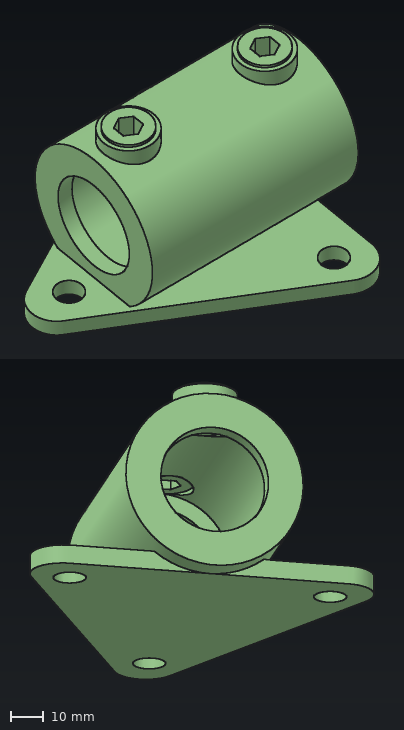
import cadquery as cq
import math

plate_width = 108.0
plate_depth = 100.0
plate_thickness = 5.9
corner_radius = 10.0
plate_hole_diameter = 10.0
front_hole_inset = 15.0
rear_hole_inset = 13.0

tube_front = 25.0
tube_back = 108.0
tube_radius = 28.0
mouth_radius = 17.0
lip_length = 5.6
tube_axis_height = tube_radius
tube_length = tube_back - tube_front
cavity_radius = tube_axis_height - plate_thickness

screw_end_inset = 14.0
boss_radius = 10.0
boss_top = 60.5
screw_radius = 8.4
screw_top = 61.5
socket_across_flats = 8.0
screw_bottom = tube_axis_height + cavity_radius
screw_positions = [tube_front + screw_end_inset, tube_back - screw_end_inset]


def cylinder_along_y(radius, front, length):
    axis_start = cq.Vector(0, front, tube_axis_height)
    return cq.Workplane(cq.Solid.makeCylinder(radius, length, axis_start, cq.Vector(0, 1, 0)))


def upright_cylinder(radius, y, bottom, top):
    return cq.Workplane("XY", origin=(0, y, bottom)).circle(radius).extrude(top - bottom)


def make_plate():
    """Triangle with three tangent corner arcs, drilled once near each corner."""
    side_x = plate_width / 2 - corner_radius
    rear_y = plate_depth - corner_radius
    front_y = corner_radius
    edge_angle = math.atan2(rear_y - front_y, side_x)
    normal_x = corner_radius * math.sin(edge_angle)
    normal_y = -corner_radius * math.cos(edge_angle)
    mid_angle = edge_angle / 2
    mid_x = side_x + corner_radius * math.cos(mid_angle)
    mid_y = rear_y + corner_radius * math.sin(mid_angle)
    plate = (
        cq.Workplane("XY")
        .moveTo(-normal_x, front_y + normal_y)
        .threePointArc((0, 0), (normal_x, front_y + normal_y))
        .lineTo(side_x + normal_x, rear_y + normal_y)
        .threePointArc((mid_x, mid_y), (side_x, plate_depth))
        .lineTo(-side_x, plate_depth)
        .threePointArc((-mid_x, mid_y), (-side_x - normal_x, rear_y + normal_y))
        .close()
        .extrude(plate_thickness)
    )
    rear_hole_x = plate_width / 2 - rear_hole_inset
    rear_hole_y = plate_depth - rear_hole_inset
    hole_centers = [(0, front_hole_inset), (rear_hole_x, rear_hole_y), (-rear_hole_x, rear_hole_y)]
    holes = (
        cq.Workplane("XY")
        .pushPoints(hole_centers)
        .circle(plate_hole_diameter / 2)
        .extrude(plate_thickness)
    )
    return plate.cut(holes)


def make_housing():
    """Plate, tube and bosses in one piece, with a wide cavity between two end lips."""
    housing = make_plate().union(cylinder_along_y(tube_radius, tube_front, tube_length))
    for y in screw_positions:
        housing = housing.union(upright_cylinder(boss_radius, y, tube_axis_height, boss_top))
    cavity_length = tube_length - 2 * lip_length
    housing = housing.cut(cylinder_along_y(mouth_radius, tube_front, tube_length))
    housing = housing.cut(cylinder_along_y(cavity_radius, tube_front + lip_length, cavity_length))
    for y in screw_positions:
        housing = housing.cut(upright_cylinder(screw_radius, y, tube_axis_height, boss_top))
    return housing


def make_set_screw(y):
    """Headless screw with a hexagonal socket right through it, corners pointing along X."""
    across_corners = socket_across_flats / math.cos(math.pi / 6)
    screw_length = screw_top - screw_bottom
    socket = (
        cq.Workplane("XY", origin=(0, y, screw_bottom))
        .polygon(6, across_corners)
        .extrude(screw_length)
    )
    return upright_cylinder(screw_radius, y, screw_bottom, screw_top).cut(socket)


housing = make_housing()
set_screws = [make_set_screw(y) for y in screw_positions]

result = cq.Compound.makeCompound([housing.val(), *[screw.val() for screw in set_screws]])